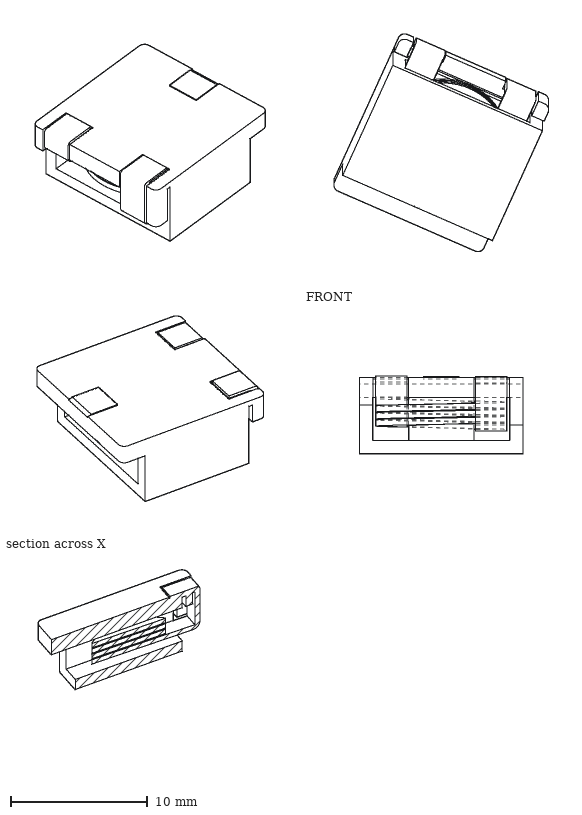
import cadquery as cq
import math

width = 12.0
core_depth = 9.0
wall = 1.0
base_thickness = 1.0
ceiling_z = 4.12
post_diameter = 4.8

top_z = 5.6
rear_y = 6.5
front_y = -6.0
corner_radius = 0.5
rib_back_y = -4.8
groove_top_z = 5.12
left_foot_z = 3.6
right_foot_z = 2.13

seat_center_x = 3.7
seat_size = 2.6
seat_depth = 0.1
notch_depth = 0.6

pad_height = 0.08
pad_chamfer_length = 0.3

wire_width = 2.3
wire_thickness = 0.46
coil_outer_radius = 4.8
coil_pitch = 0.515
coil_turns = 3.5
coil_start_z = 1.785

terminal_length = 2.54
terminal_top_bend = 0.3
terminal_bottom_bend = 0.6
right_terminal_front_y = front_y
right_terminal_top_z = 5.66
left_terminal_front_y = -6.06
left_terminal_top_z = 5.71
lead_overlap = 0.02

seat_back_y = front_y + seat_size
core_front_y = -core_depth / 2
coil_mean_radius = coil_outer_radius - wire_width / 2
coil_inner_radius = coil_outer_radius - wire_width
lead_slope = coil_pitch / (2 * math.pi * coil_mean_radius)


def block(x_range, y_range, z_range):
    """Axis-aligned box given its limits along each axis."""
    size = [high - low for low, high in (x_range, y_range, z_range)]
    corner = (x_range[0], y_range[0], z_range[0])
    return cq.Workplane("XY").box(*size, centered=False).translate(corner)


def make_core():
    half_width = width / 2
    half_depth = core_depth / 2
    inner_half_width = half_width - wall
    body = block((-half_width, half_width), (-half_depth, half_depth), (0, top_z))
    window = block(
        (-inner_half_width, inner_half_width), (-half_depth, half_depth), (base_thickness, ceiling_z)
    )
    post = (
        cq.Workplane("XY")
        .workplane(offset=base_thickness)
        .circle(post_diameter / 2)
        .extrude(ceiling_z - base_thickness)
    )
    return body.cut(window).union(post)


def make_cover():
    half_width = width / 2
    inner_half_width = half_width - wall
    cover = block((-half_width, half_width), (front_y, rear_y), (ceiling_z, top_z))
    feet = ((-half_width, left_foot_z), (inner_half_width, right_foot_z))
    for foot_x, foot_z in feet:
        cover = cover.union(block((foot_x, foot_x + wall), (front_y, rib_back_y), (foot_z, top_z)))
    cover = cover.edges("|Z and (>X or <X) and (>Y or <Y)").fillet(corner_radius)
    groove = block((-half_width, half_width), (rib_back_y, core_front_y), (ceiling_z, groove_top_z))
    return cover.cut(groove)


def cut_seats(body):
    """Recess the three terminal seats and notch the rib below the two front ones."""
    half_size = seat_size / 2
    seat_z = (top_z - seat_depth, top_z)
    for center_x in (-seat_center_x, seat_center_x):
        seat_x = (center_x - half_size, center_x + half_size)
        body = body.cut(block(seat_x, (front_y, seat_back_y), seat_z))
        body = body.cut(block(seat_x, (front_y, front_y + notch_depth), (0, top_z)))
    return body.cut(block((-half_size, half_size), (rear_y - seat_size, rear_y), seat_z))


def make_rear_pad():
    floor_z = top_z - seat_depth
    pad_top_z = top_z + pad_height
    profile = [
        (rear_y, floor_z),
        (rear_y - pad_chamfer_length, pad_top_z),
        (rear_y - seat_size, pad_top_z),
        (rear_y - seat_size, floor_z),
    ]
    return cq.Workplane("YZ").polyline(profile).close().extrude(seat_size / 2, both=True)


def make_coil():
    path = cq.Wire.makeHelix(coil_pitch, coil_pitch * coil_turns, coil_mean_radius)
    return (
        cq.Workplane("XZ")
        .center(coil_mean_radius, 0)
        .rect(wire_width, wire_thickness)
        .sweep(cq.Workplane(obj=path), isFrenet=True)
        .translate((0, 0, coil_start_z + wire_thickness / 2))
    )


def make_terminal(left_x, outer_y, upper_z, lead_z, slope):
    """Lead running forward from the coil, up the front and back over the cover."""
    inner_y = outer_y + wire_thickness
    profile = [
        (lead_overlap, lead_z + slope * lead_overlap),
        (outer_y, lead_z + slope * outer_y),
        (outer_y, upper_z),
        (outer_y + terminal_length, upper_z),
        (outer_y + terminal_length, upper_z - wire_thickness),
        (inner_y, upper_z - wire_thickness),
        (inner_y, lead_z + slope * inner_y + wire_thickness),
        (lead_overlap, lead_z + slope * lead_overlap + wire_thickness),
    ]
    terminal = cq.Workplane("YZ").polyline(profile).close().extrude(wire_width)
    terminal = terminal.faces("<Y").edges(">Z").fillet(terminal_top_bend)
    terminal = terminal.faces("<Y").edges("<Z").fillet(terminal_bottom_bend)
    return terminal.translate((left_x, 0, 0))


right_terminal = make_terminal(
    coil_inner_radius, right_terminal_front_y, right_terminal_top_z, coil_start_z, lead_slope
)
left_terminal = make_terminal(
    -coil_outer_radius,
    left_terminal_front_y,
    left_terminal_top_z,
    coil_start_z + coil_pitch * coil_turns,
    -lead_slope,
)

result = cut_seats(make_core().union(make_cover()))
result = result.union(make_rear_pad())
winding = make_coil().union(right_terminal).union(left_terminal)
result = result.union(winding)